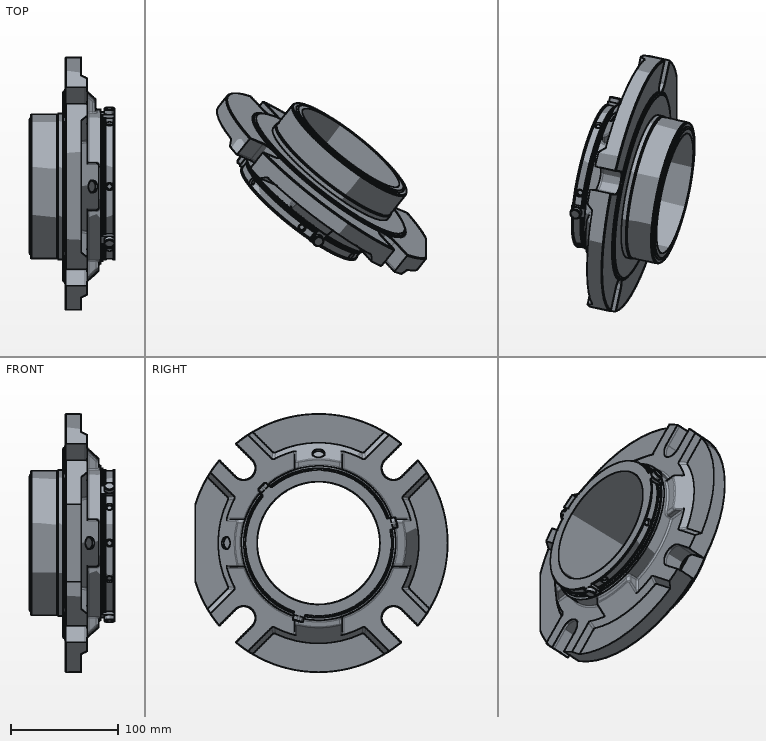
import cadquery as cq
import math


gland_nose_x = 1.2
oring_groove_x = 25.8
pilot_x = 26.8
gasket_x = 31.2
flange_front_x = 33.5
flange_rear_x = 48.4
pad_face_x = 53.9
rib_end_x = 64.9
short_rib_end_x = 61.9
gland_end_x = 66.4
ring_front_x = 67.6
ring_rear_x = 68.7
collar_front_x = 69.9
total_length = 79.63

bore_d = 114.3
sleeve_od = 117.45
sleeve_lip_r = 61.7
sleeve_lip_chamfer = 0.8
nose_tip_d = 126.97
nose_d = 134.93
nose_chamfer_length = 1.3
nose_chamfer_height = 0.7
oring_groove_d = 132.03
pilot_d = 136.47
gasket_face_d = 174.62
gasket_rim_r = 88.9
gasket_chamfer_length = 1.0
gasket_base_r = 90.3
gasket_base_thickness = 0.5

flange_r = 120.525
flat_y = -114.995
rim_chamfer = 0.9
bolt_angles = (45, 135, 225, 315)
pad_base_half_width = 29.8
pad_face_half_width = 24.8
pad_root_fillet = 3.0
slot_radius = 10.8
slot_bottom_r = 88.0
slot_chamfer_length = 2.1
slot_chamfer_width = 0.5

hub_r = 72.0
root_fillet = 1.6
cone_angle = 42.5
cone_r_at_pad = 88.6
rib_half_width = 22.1
rib_corner_radius = 3.0
rib_edge_fillet = 1.6
rib_ends = {0: short_rib_end_x, 90: rib_end_x, 180: rib_end_x, 270: rib_end_x}
ports = {90: 59.2, 180: 56.4}
port_d = 11.38
port_depth = 2.5

neck_r = 68.2
ring_d = 139.6
collar_d = 136.47
collar_groove_d = 135.25
collar_rim_width = 1.4
set_screw_angles = (30, 90, 150, 180, 210, 270, 330)
set_screw_d = 5.0
set_screw_mouth_d = 7.0
set_screw_recess = 2.0

clip_angles = (15, 135, 255)
clip_half_width = 5.3
clip_outer_r = 70.6
clip_inner_r = 66.0
screw_head_d = 10.0
screw_head_top_r = 75.4
screw_head_chamfer = 0.6

tolerance = 0.05

collar_mid_x = (collar_front_x + total_length) / 2


def cone_r(x):
    """Radius of the conical gland shoulder at station x."""
    return cone_r_at_pad - (x - pad_face_x) * math.tan(math.radians(cone_angle))


def turned(points):
    """Solid of revolution about X from (x, radius) points."""
    return cq.Workplane("XY").polyline(points).close().revolve(360, (0, 0, 0), (1, 0, 0))


def tube(x_start, x_end, outer_r):
    """Round body about X, solid down to the bore."""
    bore_r = bore_d / 2
    return turned([(x_start, bore_r), (x_start, outer_r), (x_end, outer_r), (x_end, bore_r)])


def turn_to(body, angle):
    """Turn a body built along +Y to its angular place about X."""
    return body.rotate((0, 0, 0), (1, 0, 0), angle)


def radial_cylinder(x, r_start, r_end, diameter):
    """Cylinder along +Y centred at station x."""
    return (
        cq.Workplane("XZ", origin=(0, r_start, 0))
        .center(x, 0)
        .circle(diameter / 2)
        .extrude(r_start - r_end)
    )


def make_nose():
    """Sleeve end, gland nose, O-ring groove, pilot and tapered gasket seat."""
    bore_r = bore_d / 2
    nose_r = nose_d / 2
    shoulder_r = nose_r - nose_chamfer_height
    return turned([
        (0, bore_r),
        (0, sleeve_lip_r),
        (sleeve_lip_chamfer, nose_tip_d / 2),
        (gland_nose_x, nose_tip_d / 2),
        (gland_nose_x, shoulder_r),
        (gland_nose_x + nose_chamfer_length, nose_r),
        (oring_groove_x, nose_r),
        (oring_groove_x, oring_groove_d / 2),
        (pilot_x, oring_groove_d / 2),
        (pilot_x, pilot_d / 2),
        (gasket_x, pilot_d / 2),
        (gasket_x, gasket_face_d / 2),
        (gasket_x + gasket_chamfer_length, gasket_rim_r),
        (flange_front_x - gasket_base_thickness, gasket_rim_r),
        (flange_front_x - gasket_base_thickness, gasket_base_r),
        (flange_front_x, gasket_base_r),
        (flange_front_x, bore_r),
    ])


def flange_blank(x_start, x_end):
    """Solid disc about X with the flat on its -Y side."""
    disc = cq.Workplane("YZ", origin=(x_start, 0, 0)).circle(flange_r).extrude(x_end - x_start)
    beyond_flat = cq.Workplane("XY").box(
        4 * x_end, flange_r, 3 * flange_r
    ).translate((0, flat_y - flange_r / 2, 0))
    return disc.cut(beyond_flat)


def make_foot():
    """Conical shoulder from the flange rear to the pad face, solid to the axis."""
    return turned([
        (flange_rear_x, 0),
        (flange_rear_x, cone_r(flange_rear_x)),
        (pad_face_x, cone_r(pad_face_x)),
        (pad_face_x, 0),
    ])


def make_pad(angle):
    """Raised bolt pad with sloping flanks blended into the conical foot."""
    bar = (
        cq.Workplane("XZ")
        .polyline([
            (flange_rear_x, -pad_base_half_width),
            (pad_face_x, -pad_face_half_width),
            (pad_face_x, pad_face_half_width),
            (flange_rear_x, pad_base_half_width),
        ])
        .close()
        .extrude(-2 * flange_r)
    )
    flank_roots = cq.selectors.BoxSelector(
        (flange_rear_x + rim_chamfer, hub_r, -flange_r),
        (pad_face_x - rim_chamfer, cone_r(flange_rear_x), flange_r),
    )
    pad = make_foot().union(bar).edges(flank_roots).fillet(pad_root_fillet)
    return turn_to(pad, angle)


def make_flange():
    """Flange disc with the conical foot and the four bolt pads on its rear."""
    flange = flange_blank(flange_front_x, flange_rear_x).faces("<X").chamfer(rim_chamfer)
    pads = make_foot()
    for angle in bolt_angles:
        pads = pads.union(make_pad(angle))
    pads = pads.intersect(flange_blank(flange_rear_x, pad_face_x))
    bore = cq.Workplane("YZ").circle(bore_d / 2).extrude(total_length)
    return flange.union(pads).cut(bore)


def make_crown():
    """Gland hub with its four ribs, still with sharp inner corners."""
    crown = tube(flange_rear_x, gland_end_x, hub_r)
    for angle, end_x in rib_ends.items():
        crown = crown.union(make_rib(angle, end_x))
    return crown


def make_rib(angle, end_x):
    """Conical rib between two bolt pads, with rounded corners and edges."""
    start_x = flange_rear_x
    root_r = bore_d / 2
    cone = turned([
        (start_x, root_r),
        (start_x, cone_r(start_x)),
        (end_x, cone_r(end_x)),
        (end_x, root_r),
    ])
    block = (
        cq.Workplane("XY")
        .box(end_x - start_x, flange_r, 2 * rib_half_width, centered=(False, False, True))
        .translate((start_x, 0, 0))
        .edges(">X and |Y")
        .fillet(rib_corner_radius)
    )
    rib = cone.intersect(block)
    rib = rib.faces(">X").edges(">Y").fillet(rib_edge_fillet)
    trim = tube(start_x, pad_face_x, flange_r)
    return turn_to(rib.cut(trim), angle)


def blend_roots(gland):
    """Round the inner corners where ribs, hub and pad face meet."""
    face_roots = []
    rib_roots = []
    for edge in gland.edges().vals():
        middle = edge.positionAt(0.5)
        radius = math.hypot(middle.y, middle.z)
        box = edge.BoundingBox()
        on_pad_face = abs(box.xmin - pad_face_x) < tolerance and abs(box.xmax - pad_face_x) < tolerance
        if on_pad_face and hub_r - tolerance < radius < cone_r(pad_face_x) - tolerance:
            face_roots.append(edge)
        offset = min(abs(middle.y), abs(middle.z))
        on_rib_side = abs(offset - rib_half_width) < tolerance
        if on_rib_side and abs(radius - hub_r) < tolerance and box.xmin > pad_face_x - tolerance:
            rib_roots.append(edge)
    return gland.newObject(face_roots + rib_roots).fillet(root_fillet)


def make_slot(angle):
    """Open bolt slot with a round bottom and bevelled front and rear edges."""
    centre_r = slot_bottom_r + slot_radius

    def slot_outline(x, radius):
        return (
            cq.Workplane("YZ", origin=(x, 0, 0))
            .moveTo(2 * flange_r, -radius)
            .lineTo(centre_r, -radius)
            .threePointArc((centre_r - radius, 0), (centre_r, radius))
            .lineTo(2 * flange_r, radius)
            .close()
        )

    slot = slot_outline(gasket_x, slot_radius).extrude(pad_face_x - gasket_x)
    front_bevel = slot_outline(flange_front_x, slot_radius + slot_chamfer_width).extrude(
        slot_chamfer_width, taper=45
    )
    bevel_angle = math.degrees(math.atan2(slot_chamfer_width, slot_chamfer_length))
    rear_bevel = slot_outline(pad_face_x, slot_radius + slot_chamfer_width).extrude(
        -slot_chamfer_length, taper=bevel_angle
    )
    return turn_to(slot.union(front_bevel).union(rear_bevel), angle)


def make_port(angle, port_x):
    """Blind flush port drilled square to the conical shoulder."""
    slope = math.radians(cone_angle)
    axis = cq.Vector(math.sin(slope), math.cos(slope), 0)
    mouth = cq.Vector(port_x, cone_r(port_x), 0)
    bottom = mouth - axis * port_depth
    drill = cq.Solid.makeCylinder(port_d / 2, 2 * port_depth, bottom, axis)
    return turn_to(cq.Workplane(drill), angle)


def make_collar():
    """Sleeve tail, gland neck and ring, and the grooved drive collar with set screws."""
    tail = tube(flange_rear_x, total_length, sleeve_od / 2)
    tail = tail.union(tube(flange_rear_x, ring_front_x, neck_r))
    tail = tail.union(tube(ring_front_x, ring_rear_x, ring_d / 2))
    tail = tail.union(tube(collar_front_x, total_length, collar_d / 2))
    groove_start = collar_front_x + collar_rim_width
    groove_end = total_length - collar_rim_width
    groove_r = collar_groove_d / 2
    tail = tail.cut(turned([
        (groove_start, groove_r),
        (groove_start, collar_d),
        (groove_end, collar_d),
        (groove_end, groove_r),
    ]))
    for angle in set_screw_angles:
        hole = radial_cylinder(collar_mid_x, groove_r - set_screw_recess, collar_d, set_screw_d)
        countersink = cq.Solid.makeCone(
            set_screw_d / 2,
            set_screw_mouth_d / 2,
            set_screw_recess,
            cq.Vector(collar_mid_x, groove_r - set_screw_recess, 0),
            cq.Vector(0, 1, 0),
        )
        hole = hole.union(cq.Workplane(countersink))
        tail = tail.cut(turn_to(hole, angle))
    return tail


def make_clip(angle):
    """Setting clip bridging hub and collar, with its cap screw."""
    plate = cq.Workplane("XY").box(
        total_length - gland_end_x,
        clip_outer_r - clip_inner_r,
        2 * clip_half_width,
        centered=(False, False, True),
    ).translate((gland_end_x, clip_inner_r, 0))
    head = radial_cylinder(collar_mid_x, clip_inner_r, screw_head_top_r, screw_head_d)
    head = head.faces(">Y").chamfer(screw_head_chamfer)
    envelope = cq.Workplane("YZ").circle(flange_r).extrude(total_length)
    return turn_to(plate.union(head).intersect(envelope), angle)


gland = blend_roots(make_flange().union(make_crown()))
gland = gland.union(make_nose())
for bolt_angle in bolt_angles:
    gland = gland.cut(make_slot(bolt_angle))
for port_angle, port_station in ports.items():
    gland = gland.cut(make_port(port_angle, port_station))

result = gland.union(make_collar())
for clip_angle in clip_angles:
    result = result.union(make_clip(clip_angle))